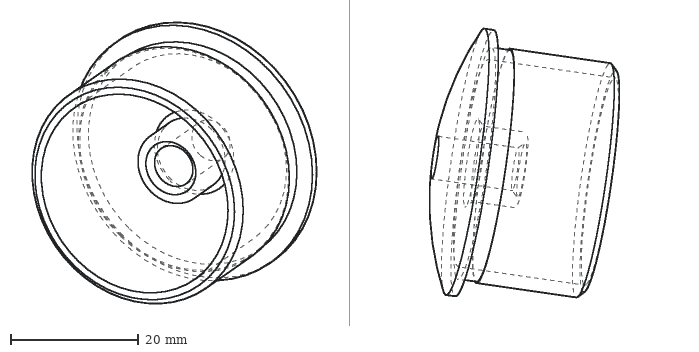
import cadquery as cq
import math

overall_length = 26.35

flange_radius = 21.2
flange_thickness = 1.5
body_radius = 18.65
body_length = 20.0
body_chamfer = 1.0
relief_radius = 18.45
relief_length = 3.0

bore_radius = 16.5
bore_depth = 20.52
floor_fillet = 0.5

boss_radius = 12.0 / 2
boss_height = 8.0
boss_root_chamfer = 1.0
boss_rim_fillet = 0.5

hole_radius = 3.4
countersink_depth = 1.0

open_end = -overall_length / 2
dome_end = overall_length / 2
flange_face = open_end + body_length
flange_edge = flange_face + flange_thickness
relief_start = flange_face - relief_length
floor = open_end + bore_depth
boss_top = floor - boss_height


def dome_midpoint():
    """Point on the spherical dome halfway, in radius, between hole rim and flange edge."""
    rise = dome_end - flange_edge
    center = (dome_end + flange_edge) / 2 - (flange_radius**2 - hole_radius**2) / (2 * rise)
    sphere_radius = math.hypot(flange_radius, flange_edge - center)
    radius = (flange_radius + hole_radius) / 2
    return radius, center + math.sqrt(sphere_radius**2 - radius**2)


def add_outside(profile):
    """Plug body, relief groove, flange and dome, from the open end to the hole rim."""
    return (
        profile.lineTo(body_radius - body_chamfer, open_end)
        .lineTo(body_radius, open_end + body_chamfer)
        .lineTo(body_radius, relief_start)
        .lineTo(relief_radius, relief_start)
        .lineTo(relief_radius, flange_face)
        .lineTo(flange_radius, flange_face)
        .lineTo(flange_radius, flange_edge)
        .threePointArc(dome_midpoint(), (hole_radius, dome_end))
    )


def add_hole_and_boss(profile):
    """Through hole, countersink and boss, from the hole rim down to the bore floor."""
    return (
        profile.lineTo(hole_radius, boss_top + countersink_depth)
        .lineTo(hole_radius + countersink_depth, boss_top)
        .lineTo(boss_radius - boss_rim_fillet, boss_top)
        .radiusArc((boss_radius, boss_top + boss_rim_fillet), -boss_rim_fillet)
        .lineTo(boss_radius, floor - boss_root_chamfer)
        .lineTo(boss_radius + boss_root_chamfer, floor)
    )


def add_bore(profile):
    """Bore floor with its rounded corner; closing the profile forms the bore wall."""
    return (
        profile.lineTo(bore_radius - floor_fillet, floor)
        .radiusArc((bore_radius, floor - floor_fillet), floor_fillet)
        .close()
    )


half_section = cq.Workplane("XY").moveTo(bore_radius, open_end)
half_section = add_outside(half_section)
half_section = add_hole_and_boss(half_section)
half_section = add_bore(half_section)

result = half_section.revolve(360, (0, 0, 0), (0, 1, 0))